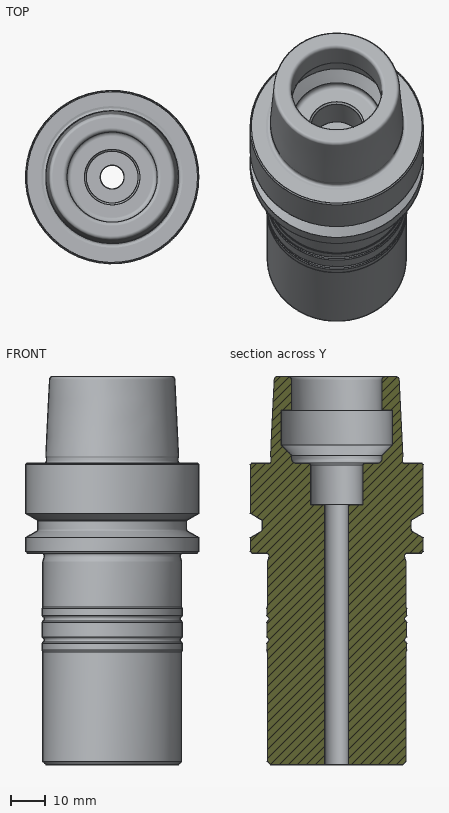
import cadquery as cq
import math

TOTAL_LENGTH = 112.0
FLANGE_RADIUS = 50.0 / 2
BODY_RADIUS = 40.1 / 2

FLANGE_TOP = 87.0
TAPER_BASE = 89.0
TAPER_BASE_RADIUS = 38.34 / 2
TAPER_TIP_RADIUS = 36.2 / 2
TIP_FILLET = 1.0
NECK_RADIUS = 38.01 / 2
NECK_TOP = 88.35
NECK_BOTTOM = 87.67
NECK_FILLET = 0.8

RECESS_RIM_RADIUS = 40.8 / 2

FLANGE_BOTTOM = 61.0
FLANGE_TOP_CHAMFER = 0.4
FLANGE_BOTTOM_CHAMFER = 0.55
GRIPPER_RADIUS = 43.0 / 2
GRIPPER_TOP = 72.5
GRIPPER_BOTTOM = 65.5
GRIPPER_FLANK_ANGLE = 30.0
GRIPPER_UPPER_FILLET = 0.2
GRIPPER_LOWER_FILLET = 0.5

RELIEF_RADIUS = 39.3 / 2
RELIEF_FILLET = 0.7
RELIEF_BOTTOM = 60.0
RELIEF_TAPER_BOTTOM = 58.55
END_CHAMFER = 1.0

COLLAR_RADIUS = 40.5 / 2
COLLAR_TOP = 45.15
COLLAR_BOTTOM = 33.1
COLLAR_TOP_TAPER = 0.3
COLLAR_BOTTOM_TAPER = 0.6
RING_GROOVE_TOPS = (43.0, 36.9)
RING_GROOVE_WIDTH = 1.95
RING_GROOVE_UPPER_FLANK = 0.25
RING_GROOVE_LOWER_FLANK = 0.45
RING_GROOVE_SHOULDER_RADIUS = 40.0 / 2
RING_GROOVE_FLOOR_RADIUS = 39.3 / 2

LIP_RADIUS = 26.0 / 2
LIP_FILLET = 1.1
LIP_BOTTOM = 102.2
CHAMBER_RADIUS = 32.0 / 2
CHAMBER_BOTTOM = 92.2
SOCKET_FLOOR_RADIUS = 23.5 / 2
SOCKET_FLOOR = 87.0
THREAD_BORE_RADIUS = 14.92 / 2
THREAD_MOUTH_RADIUS = 16.0 / 2
THREAD_BORE_DEPTH = 12.0
THROUGH_HOLE_RADIUS = 6.8 / 2


def revolved(profile):
    """Turn a closed (radius, height) profile about the Z axis."""
    return profile.close().revolve(360, (0, 0, 0), (0, 1, 0))


def rounded_corner(profile, centre_radius, centre_height, radius, mid_angle, end_angle):
    """Add a round stretch about the given centre, ending at end_angle."""
    def at(angle):
        turn = math.radians(angle)
        return (centre_radius + radius * math.cos(turn), centre_height + radius * math.sin(turn))

    return profile.threePointArc(at(mid_angle), at(end_angle))


def outer_body():
    flank_height = (FLANGE_RADIUS - GRIPPER_RADIUS) * math.tan(math.radians(GRIPPER_FLANK_ANGLE))
    profile = (
        cq.Workplane("XZ")
        .moveTo(0, 0)
        .lineTo(BODY_RADIUS - END_CHAMFER, 0)
        .lineTo(BODY_RADIUS, END_CHAMFER)
        .lineTo(BODY_RADIUS, COLLAR_BOTTOM - COLLAR_BOTTOM_TAPER)
        .lineTo(COLLAR_RADIUS, COLLAR_BOTTOM)
        .lineTo(COLLAR_RADIUS, COLLAR_TOP)
        .lineTo(BODY_RADIUS, COLLAR_TOP + COLLAR_TOP_TAPER)
        .lineTo(BODY_RADIUS, RELIEF_TAPER_BOTTOM)
        .lineTo(RELIEF_RADIUS, RELIEF_BOTTOM)
        .lineTo(RELIEF_RADIUS, FLANGE_BOTTOM - RELIEF_FILLET)
    )
    profile = rounded_corner(
        profile, RELIEF_RADIUS + RELIEF_FILLET, FLANGE_BOTTOM - RELIEF_FILLET, RELIEF_FILLET, 135, 90
    )
    profile = (
        profile.lineTo(FLANGE_RADIUS - FLANGE_BOTTOM_CHAMFER, FLANGE_BOTTOM)
        .lineTo(FLANGE_RADIUS, FLANGE_BOTTOM + FLANGE_BOTTOM_CHAMFER)
        .lineTo(FLANGE_RADIUS, GRIPPER_BOTTOM)
        .lineTo(GRIPPER_RADIUS, GRIPPER_BOTTOM + flank_height)
        .lineTo(GRIPPER_RADIUS, GRIPPER_TOP - flank_height)
        .lineTo(FLANGE_RADIUS, GRIPPER_TOP)
        .lineTo(FLANGE_RADIUS, FLANGE_TOP - FLANGE_TOP_CHAMFER)
        .lineTo(FLANGE_RADIUS - FLANGE_TOP_CHAMFER, FLANGE_TOP)
        .lineTo(RECESS_RIM_RADIUS, FLANGE_TOP)
        .lineTo(NECK_RADIUS + NECK_FILLET, NECK_BOTTOM - NECK_FILLET)
    )
    profile = rounded_corner(
        profile, NECK_RADIUS + NECK_FILLET, NECK_BOTTOM, NECK_FILLET, 225, 180
    )
    profile = (
        profile.lineTo(NECK_RADIUS, NECK_TOP)
        .lineTo(TAPER_BASE_RADIUS, TAPER_BASE)
        .lineTo(TAPER_TIP_RADIUS, TOTAL_LENGTH - TIP_FILLET)
    )
    profile = rounded_corner(
        profile, TAPER_TIP_RADIUS - TIP_FILLET, TOTAL_LENGTH - TIP_FILLET, TIP_FILLET, 45, 90
    )
    return revolved(profile.lineTo(0, TOTAL_LENGTH))


def gripper_floor_edge(bottom, top):
    """Select the circle between two heights where the gripper groove floor meets a flank."""
    reach = (GRIPPER_RADIUS + FLANGE_RADIUS) / 2
    return cq.selectors.BoxSelector((-reach, -reach, bottom), (reach, reach, top), boundingbox=True)


def round_gripper_corners(body):
    middle = (GRIPPER_TOP + GRIPPER_BOTTOM) / 2
    body = body.edges(gripper_floor_edge(GRIPPER_BOTTOM, middle)).fillet(GRIPPER_LOWER_FILLET)
    return body.edges(gripper_floor_edge(middle, GRIPPER_TOP)).fillet(GRIPPER_UPPER_FILLET)


def ring_groove(top):
    """Shallow groove around the collar: sloping flanks and an arc-shaped floor."""
    bottom = top - RING_GROOVE_WIDTH
    arc_top = top - RING_GROOVE_UPPER_FLANK
    arc_bottom = bottom + RING_GROOVE_LOWER_FLANK
    profile = (
        cq.Workplane("XZ")
        .moveTo(COLLAR_RADIUS, top)
        .lineTo(RING_GROOVE_SHOULDER_RADIUS, arc_top)
        .threePointArc(
            (RING_GROOVE_FLOOR_RADIUS, (arc_top + arc_bottom) / 2),
            (RING_GROOVE_SHOULDER_RADIUS, arc_bottom),
        )
        .lineTo(COLLAR_RADIUS, bottom)
    )
    return revolved(profile)


def bore():
    floor_fillet = LIP_RADIUS - SOCKET_FLOOR_RADIUS
    seat_height = CHAMBER_RADIUS - LIP_RADIUS
    mouth_height = THREAD_MOUTH_RADIUS - THREAD_BORE_RADIUS
    profile = (
        cq.Workplane("XZ")
        .moveTo(0, 0)
        .lineTo(THROUGH_HOLE_RADIUS, 0)
        .lineTo(THROUGH_HOLE_RADIUS, SOCKET_FLOOR - THREAD_BORE_DEPTH)
        .lineTo(THREAD_BORE_RADIUS, SOCKET_FLOOR - THREAD_BORE_DEPTH)
        .lineTo(THREAD_BORE_RADIUS, SOCKET_FLOOR - mouth_height)
        .lineTo(THREAD_MOUTH_RADIUS, SOCKET_FLOOR)
        .lineTo(SOCKET_FLOOR_RADIUS, SOCKET_FLOOR)
    )
    profile = rounded_corner(
        profile, SOCKET_FLOOR_RADIUS, SOCKET_FLOOR + floor_fillet, floor_fillet, -45, 0
    )
    profile = (
        profile.lineTo(LIP_RADIUS, CHAMBER_BOTTOM - seat_height)
        .lineTo(CHAMBER_RADIUS, CHAMBER_BOTTOM)
        .lineTo(CHAMBER_RADIUS, LIP_BOTTOM)
        .lineTo(LIP_RADIUS, LIP_BOTTOM)
        .lineTo(LIP_RADIUS, TOTAL_LENGTH - LIP_FILLET)
    )
    profile = rounded_corner(
        profile, LIP_RADIUS + LIP_FILLET, TOTAL_LENGTH - LIP_FILLET, LIP_FILLET, 135, 90
    )
    return revolved(profile.lineTo(0, TOTAL_LENGTH))


result = round_gripper_corners(outer_body())
for groove_top in RING_GROOVE_TOPS:
    result = result.cut(ring_groove(groove_top))
result = result.cut(bore())